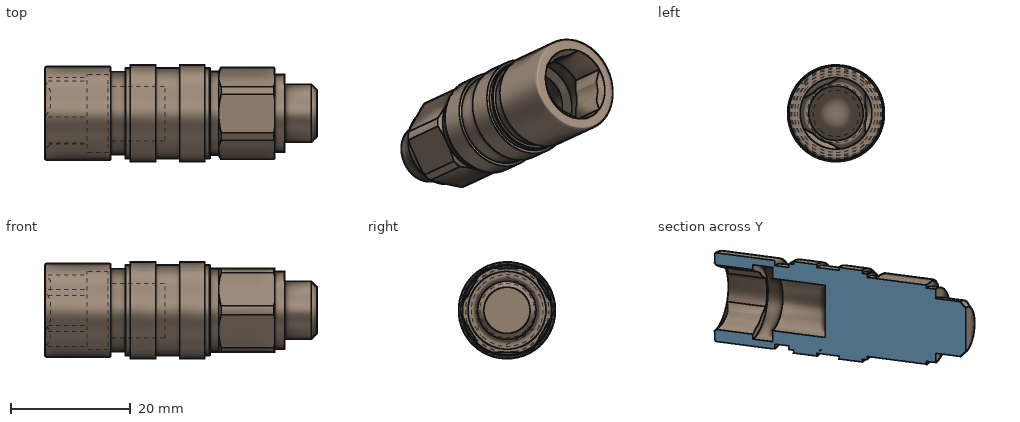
import cadquery as cq
import math


COLLAR_END = 11.0
NECK_END = 13.4
FRONT_BAND_START = 14.3
FRONT_BAND_END = 18.55
REAR_BAND_START = 22.5
REAR_BAND_END = 26.75
SLEEVE_END = 27.65
HEX_START = 29.05
HEX_END = 38.4
FLANGE_END = 40.05
OVERALL_LENGTH = 45.5

COLLAR_DIA = 15.7
NECK_DIA = 13.9
SLEEVE_DIA = 15.2
BAND_DIA = 16.2
SHANK_DIA = 14.0
FLANGE_DIA = 13.0
STUB_DIA = 9.73

MOUTH_FILLET = 0.45
COLLAR_FILLET = 0.3
SLEEVE_CHAMFER = 0.15
STUB_CHAMFER = 1.0

HEX_SIDES = 6
HEX_ACROSS_FLATS = SHANK_DIA
HEX_CORNER_DIA = 15.4
HEX_CONE_ANGLE = 60.0
HEX_REAR_CONE_DROP = 0.28

MOUTH_BORE_DIA = 12.0
RELIEF_DIA = 13.0
DEEP_BORE_DIA = 9.1
MOUTH_BORE_DEPTH = 7.0
RELIEF_DEPTH = 10.5
DEEP_BORE_DEPTH = 20.0
KEY_COUNT = 3
KEY_FLAT_DISTANCE = 4.88
KEY_SCOOP_DIA = 10.25
KEY_RAMP_ANGLE = 45.0
FIRST_KEY_ANGLE = 180.0


def cylinder_x(diameter, start, end):
    """Solid cylinder on the X axis between two stations."""
    return cq.Workplane("YZ").workplane(offset=start).circle(diameter / 2).extrude(end - start)


def revolve_x(points):
    """Solid of revolution about X from (x, radius) points."""
    return cq.Workplane("XY").polyline(points).close().revolve(360, (0, 0, 0), (1, 0, 0))


def make_collar():
    collar = cylinder_x(COLLAR_DIA, 0, COLLAR_END)
    collar = collar.faces("<X").edges().fillet(MOUTH_FILLET)
    return collar.faces(">X").edges().fillet(COLLAR_FILLET)


def make_sleeve():
    sleeve = cylinder_x(SLEEVE_DIA, NECK_END, SLEEVE_END).edges("%CIRCLE").chamfer(SLEEVE_CHAMFER)
    for start, end in ((FRONT_BAND_START, FRONT_BAND_END), (REAR_BAND_START, REAR_BAND_END)):
        sleeve = sleeve.union(cylinder_x(BAND_DIA, start, end))
    return sleeve


def make_hexagon():
    corner_to_corner = HEX_ACROSS_FLATS / math.cos(math.pi / HEX_SIDES)
    prism = (
        cq.Workplane("YZ")
        .workplane(offset=HEX_START)
        .polygon(HEX_SIDES, corner_to_corner)
        .extrude(HEX_END - HEX_START)
    )
    cone_slope = math.tan(math.radians(HEX_CONE_ANGLE))
    corner_radius = HEX_CORNER_DIA / 2
    front_radius = SHANK_DIA / 2
    rear_radius = corner_radius - HEX_REAR_CONE_DROP
    turned_envelope = revolve_x([
        (HEX_START, 0),
        (HEX_START, front_radius),
        (HEX_START + (corner_radius - front_radius) / cone_slope, corner_radius),
        (HEX_END - HEX_REAR_CONE_DROP / cone_slope, corner_radius),
        (HEX_END, rear_radius),
        (HEX_END, 0),
    ])
    return prism.intersect(turned_envelope)


def make_stub():
    stub = cylinder_x(STUB_DIA, FLANGE_END, OVERALL_LENGTH)
    return stub.faces(">X").edges().chamfer(STUB_CHAMFER)


def make_key(angle):
    """Segment left standing in the mouth bore: flat, scooped in the middle, ramped at the mouth."""
    blank_dia = (MOUTH_BORE_DIA + COLLAR_DIA) / 2
    beyond_flat = (
        cq.Workplane("XY")
        .box(MOUTH_BORE_DEPTH, blank_dia, blank_dia, centered=(False, False, True))
        .translate((0, KEY_FLAT_DISTANCE, 0))
    )
    key = cylinder_x(blank_dia, 0, MOUTH_BORE_DEPTH).intersect(beyond_flat)
    key = key.cut(cylinder_x(KEY_SCOOP_DIA, 0, MOUTH_BORE_DEPTH))
    mouth_radius = MOUTH_BORE_DIA / 2
    ramp_length = mouth_radius / math.tan(math.radians(KEY_RAMP_ANGLE))
    ramp = revolve_x([
        (0, 0),
        (0, mouth_radius),
        (ramp_length, 0),
    ])
    return key.cut(ramp).rotate((0, 0, 0), (1, 0, 0), angle)


def make_socket():
    """Volume to remove for the socket."""
    socket = cylinder_x(MOUTH_BORE_DIA, 0, MOUTH_BORE_DEPTH)
    for index in range(KEY_COUNT):
        socket = socket.cut(make_key(FIRST_KEY_ANGLE + index * 360 / KEY_COUNT))
    relief = cylinder_x(RELIEF_DIA, MOUTH_BORE_DEPTH, RELIEF_DEPTH)
    deep_bore = cylinder_x(DEEP_BORE_DIA, RELIEF_DEPTH, DEEP_BORE_DEPTH)
    return socket.union(relief).union(deep_bore)


outside = (
    make_collar()
    .union(cylinder_x(NECK_DIA, COLLAR_END, NECK_END))
    .union(make_sleeve())
    .union(cylinder_x(SHANK_DIA, SLEEVE_END, HEX_START))
    .union(make_hexagon())
    .union(cylinder_x(FLANGE_DIA, HEX_END, FLANGE_END))
    .union(make_stub())
)

result = outside.cut(make_socket())